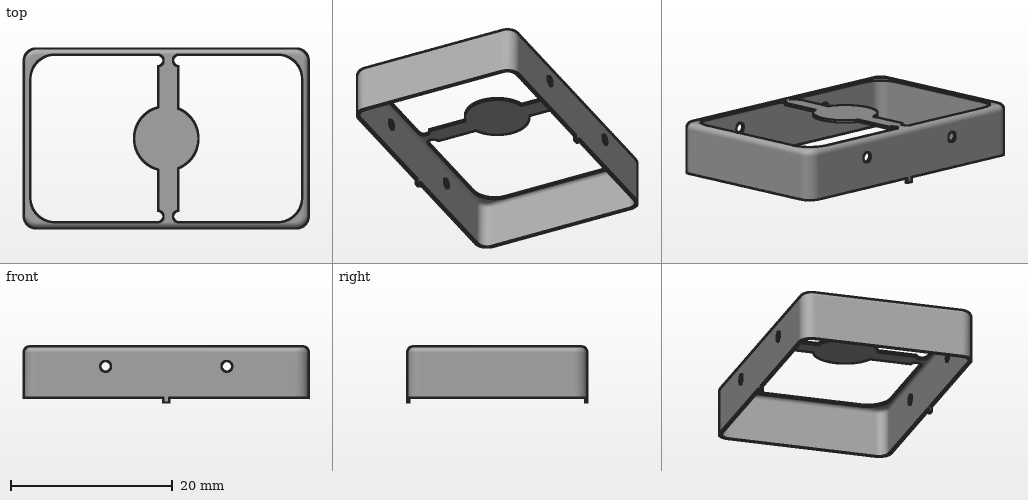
import cadquery as cq

length = 35.3
width = 22.3
total_height = 7.0
sheet = 0.3

corner_radius = 1.6
bend_radius = 0.8

side_flange = 0.85
long_flange = 0.8
opening_length = length - 2 * side_flange
opening_width = width - 2 * long_flange
opening_corner_radius = 3.0

disc_diameter = 8.0
bridge_width = 2.5
bridge_offset = 0.25
notch_diameter = 1.4
neck_width = 1.2
notch_spacing_x = neck_width + notch_diameter
notch_spacing_y = opening_width - notch_diameter

wall_hole_diameter = 1.3
wall_hole_spacing = 15.0
wall_hole_depth_below_top = 2.5

tab_width = 0.8
tab_height = 0.6
wall_height = total_height - tab_height


def rounded_block(block_length, block_width, height, vertical_radius, top_radius):
    """Block standing on Z = 0 with rounded corners and a rounded top rim."""
    block = cq.Workplane("XY").rect(block_length, block_width).extrude(height)
    return block.edges("|Z").fillet(vertical_radius).faces(">Z").edges().fillet(top_radius)


def make_shell():
    """Open-bottomed cover of constant sheet thickness."""
    outside = rounded_block(length, width, wall_height, corner_radius, bend_radius)
    inside = rounded_block(
        length - 2 * sheet,
        width - 2 * sheet,
        wall_height - sheet,
        corner_radius - sheet,
        bend_radius - sheet,
    )
    return outside.cut(inside)


def make_opening():
    """Rounded window through the top, less the bridge and disc that stay in it."""
    window = cq.Workplane("XY").rect(opening_length, opening_width).extrude(wall_height)
    window = window.edges("|Z").fillet(opening_corner_radius)
    return window.cut(make_bridge())


def make_bridge():
    """Disc and notched strip spanning the window along Y."""
    disc = cq.Workplane("XY").circle(disc_diameter / 2).extrude(wall_height)
    strip = cq.Workplane("XY").center(bridge_offset, 0).rect(bridge_width, width).extrude(wall_height)
    notches = (
        cq.Workplane("XY")
        .center(bridge_offset, 0)
        .rect(notch_spacing_x, notch_spacing_y, forConstruction=True)
        .vertices()
        .circle(notch_diameter / 2)
        .extrude(wall_height)
    )
    return strip.cut(notches).union(disc)


def make_wall_holes():
    """Pins along Y that pierce both long walls."""
    hole_z = wall_height - wall_hole_depth_below_top
    half_spacing = wall_hole_spacing / 2
    return (
        cq.Workplane("XZ")
        .pushPoints([(-half_spacing, hole_z), (half_spacing, hole_z)])
        .circle(wall_hole_diameter / 2)
        .extrude(width / 2, both=True)
    )


def make_tab(side):
    """Tab flush with the long wall on the given side of the XZ plane, running up into the wall."""
    tab_y = side * (width - sheet) / 2
    return (
        cq.Workplane("XY", origin=(0, tab_y, -tab_height))
        .rect(tab_width, sheet)
        .extrude(2 * tab_height)
    )


result = make_shell().cut(make_opening()).cut(make_wall_holes())
for side in (-1, 1):
    result = result.union(make_tab(side))